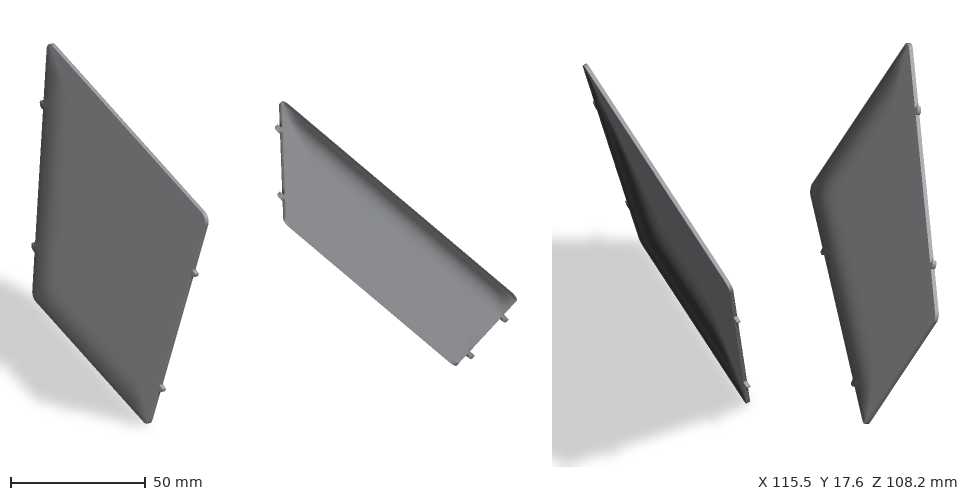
import math

import cadquery as cq

overall_width = 115.51
panel_length = 109.136
thickness = 1.5
lean_angle = 8.5
taper_angle = 8.4
corner_radius = 3.2

tab_reach = 2.5
tab_height = 2.6
tab_round = 2.0
tab_embed = 2.0
upper_tab_top = 82.1
lower_tab_top = 21.8

taper = math.tan(math.radians(taper_angle))

top_corner_angle = math.radians(90 - taper_angle)
corner_setback = corner_radius / math.tan(top_corner_angle / 2) - corner_radius
top_half_width = overall_width / 2 + corner_setback


def half_width(height):
    """Distance from the centreline to the side edge at a height above the bottom edge."""
    return top_half_width - (panel_length - height) * taper


def half_panel():
    """The +X half of the plate, standing upright, with its front face on Y = 0."""
    return (
        cq.Workplane("XZ")
        .lineTo(half_width(0), 0)
        .lineTo(top_half_width, panel_length)
        .lineTo(0, panel_length)
        .close()
        .extrude(-thickness)
        .edges("|Y and (not <X)")
        .fillet(corner_radius)
    )


def side_tab(top):
    """A full-thickness tab square to the +X side edge, sunk a little into the plate."""
    tab = (
        cq.Workplane("XZ")
        .moveTo(-tab_embed, -tab_height)
        .lineTo(tab_reach - tab_round, -tab_height)
        .radiusArc((tab_reach, tab_round - tab_height), -tab_round)
        .lineTo(tab_reach, 0)
        .lineTo(-tab_embed, 0)
        .close()
        .extrude(-thickness)
    )
    return tab.rotate((0, 0, 0), (0, 1, 0), taper_angle).translate((half_width(top), 0, top))


right_half = half_panel()
for tab_top in (lower_tab_top, upper_tab_top):
    right_half = right_half.union(side_tab(tab_top))

upright = right_half.union(right_half.mirror("YZ"), clean=False)
result = upright.rotate((0, 0, 0), (1, 0, 0), -lean_angle)